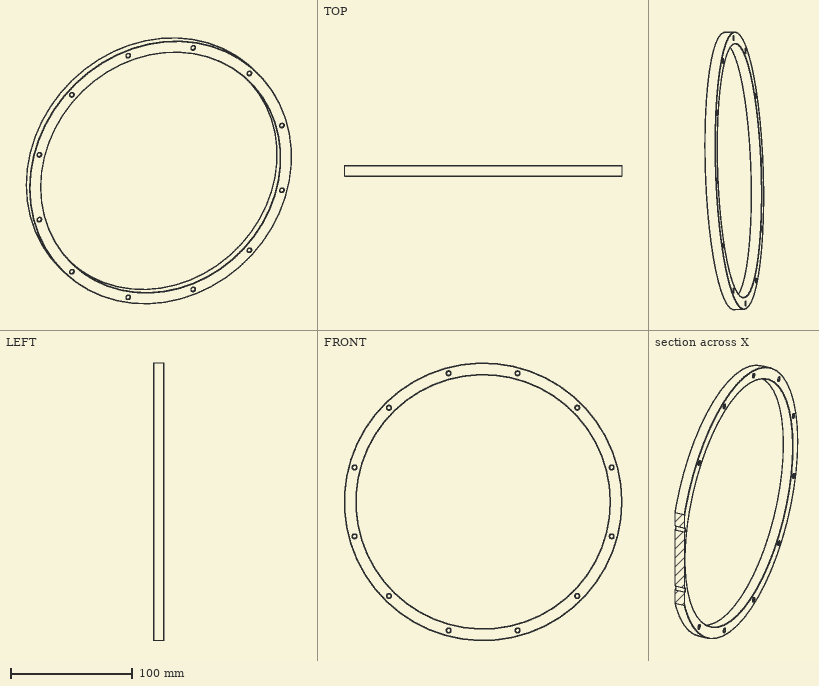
import cadquery as cq

outer_diameter = 228.77
inner_diameter = 209.0
thickness = 9.0
edge_chamfer = 0.4

hole_count = 12
hole_diameter = 3.3
hole_chamfer = 0.45
bolt_circle_diameter = 219.15
hole_spacing_angle = 360.0 / hole_count
first_hole_angle = hole_spacing_angle / 2


def make_ring():
    """Flat ring with all four circular rims chamfered."""
    ring = (
        cq.Workplane("XZ", origin=(0, thickness / 2, 0))
        .circle(outer_diameter / 2)
        .circle(inner_diameter / 2)
        .extrude(thickness)
    )
    return ring.faces("<Y or >Y").edges().chamfer(edge_chamfer)


def make_hole_cutter():
    """Solid of one through hole on the Y axis, widened by a chamfer at each ring face."""
    half_thickness = thickness / 2
    bore_radius = hole_diameter / 2
    mouth_radius = bore_radius + hole_chamfer
    return (
        cq.Workplane("XY")
        .moveTo(0, -half_thickness)
        .lineTo(mouth_radius, -half_thickness)
        .lineTo(bore_radius, hole_chamfer - half_thickness)
        .lineTo(bore_radius, half_thickness - hole_chamfer)
        .lineTo(mouth_radius, half_thickness)
        .lineTo(0, half_thickness)
        .close()
        .revolve(360, (0, 0, 0), (0, 1, 0))
    )


def cut_bolt_holes(ring):
    """Cut the hole at every position around the bolt circle."""
    cutter = make_hole_cutter().translate((bolt_circle_diameter / 2, 0, 0))
    for index in range(hole_count):
        angle = first_hole_angle + index * hole_spacing_angle
        ring = ring.cut(cutter.rotate((0, 0, 0), (0, 1, 0), angle))
    return ring


result = cut_bolt_holes(make_ring())